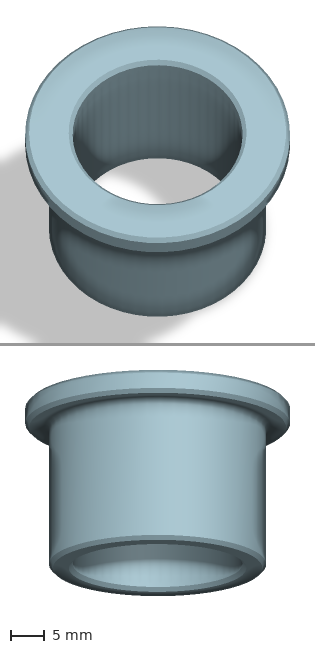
import cadquery as cq

flange_diameter = 39.0
body_diameter = 32.0
bore_diameter = 25.0
total_height = 25.0
flange_thickness = 3.5
edge_chamfer = 0.6
neck_fillet = 0.78

flange_bottom = total_height - flange_thickness

body = cq.Workplane("XY").circle(body_diameter / 2).extrude(total_height)
body = body.faces("<Z").edges().chamfer(edge_chamfer)

flange = (
    cq.Workplane("XY")
    .workplane(offset=flange_bottom)
    .circle(flange_diameter / 2)
    .extrude(flange_thickness)
    .edges()
    .chamfer(edge_chamfer)
)

neck_center = (body_diameter / 2 + neck_fillet, flange_bottom - neck_fillet)
neck = (
    cq.Workplane("XZ")
    .moveTo(body_diameter / 2, neck_center[1])
    .radiusArc((neck_center[0], flange_bottom), neck_fillet)
    .lineTo(bore_diameter / 2, flange_bottom)
    .lineTo(bore_diameter / 2, neck_center[1])
    .close()
    .revolve(360, (0, 0), (0, 1))
)

bore = cq.Workplane("XY").circle(bore_diameter / 2).extrude(total_height)
countersink = (
    cq.Workplane("XY")
    .circle(bore_diameter / 2 + edge_chamfer)
    .workplane(offset=edge_chamfer)
    .circle(bore_diameter / 2)
    .loft(ruled=True)
)
top_countersink = countersink.mirror("XY").translate((0, 0, total_height))

result = body.union(flange).union(neck).cut(bore).cut(countersink).cut(top_countersink)